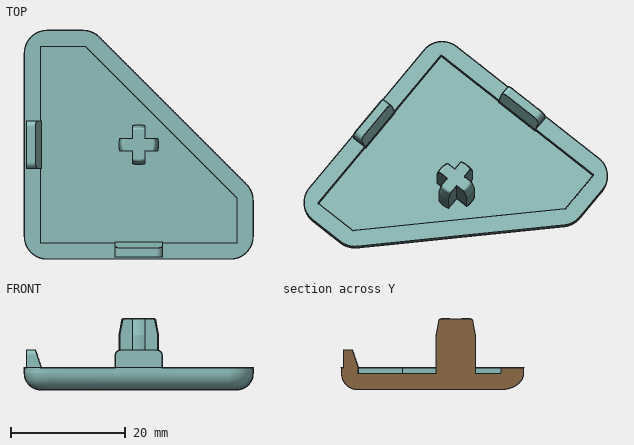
import cadquery as cq

side = 40.0
half = side / 2
short_edge = 11.9
plate_height = 3.9
corner_radius = 4.0
bottom_radius = 2.9

rim = 2.9
pocket_depth = 1.0

clip_length = 8.25
clip_height = 3.1
clip_setback = 0.35
clip_top_width = 1.6
clip_foot_width = 2.65
clip_corner_radius = 1.0

total_height = 12.5
post_radius = 3.5
arm_width = 2.1
taper_start = 9.6
post_tip_radius = 3.0
tip_flat_radius = 2.5
tip_round_height = 0.3

pocket_floor = plate_height - pocket_depth


def cut_corner_square():
    """Wire of the plate outline with sharp corners."""
    cut_end = short_edge - half
    return cq.Workplane("XY").polyline(
        [(-half, -half), (half, -half), (half, cut_end), (cut_end, half), (-half, half)]
    ).close()


def make_plate():
    plate = cut_corner_square().extrude(plate_height)
    plate = plate.edges("|Z").fillet(corner_radius)
    plate = plate.faces("<Z").edges().fillet(bottom_radius)
    pocket = cut_corner_square().offset2D(-rim, "intersection").extrude(pocket_depth)
    return plate.cut(pocket.translate((0, 0, pocket_floor)))


def make_clip():
    """Clip on the -X rim: sloping inside, rounded upper ends, foot on the pocket floor."""
    outer = -half + clip_setback
    inner = outer + clip_foot_width
    top = plate_height + clip_height
    profile = [
        (outer, pocket_floor),
        (inner, pocket_floor),
        (inner, plate_height),
        (outer + clip_top_width, top),
        (outer, top),
    ]
    clip = cq.Workplane("XZ").polyline(profile).close().extrude(clip_length / 2, both=True)
    envelope = (
        cq.Workplane("XY")
        .box(clip_setback + clip_foot_width, clip_length, top - pocket_floor, centered=(False, True, False))
        .edges("|X and >Z")
        .fillet(clip_corner_radius)
        .translate((-half, 0, pocket_floor))
    )
    return clip.intersect(envelope)


def make_post():
    """Round tapered pin reduced to a cross."""
    round_start = total_height - tip_round_height
    bulge = 0.1
    arc_middle = (
        (post_tip_radius + tip_flat_radius) / 2 + bulge,
        (round_start + total_height) / 2 + bulge,
    )
    pin = (
        cq.Workplane("XZ")
        .moveTo(0, pocket_floor)
        .lineTo(post_radius, pocket_floor)
        .lineTo(post_radius, taper_start)
        .lineTo(post_tip_radius, round_start)
        .threePointArc(arc_middle, (tip_flat_radius, total_height))
        .lineTo(0, total_height)
        .close()
        .revolve(360, (0, 0), (0, 1))
    )
    arm_length = 2 * post_radius + arm_width
    cross = (
        cq.Workplane("XY")
        .rect(arm_length, arm_width)
        .extrude(total_height)
        .union(cq.Workplane("XY").rect(arm_width, arm_length).extrude(total_height))
    )
    return pin.intersect(cross)


left_clip = make_clip()
front_clip = left_clip.rotate((0, 0, 0), (0, 0, 1), 90)

result = make_plate().union(left_clip).union(front_clip).union(make_post())